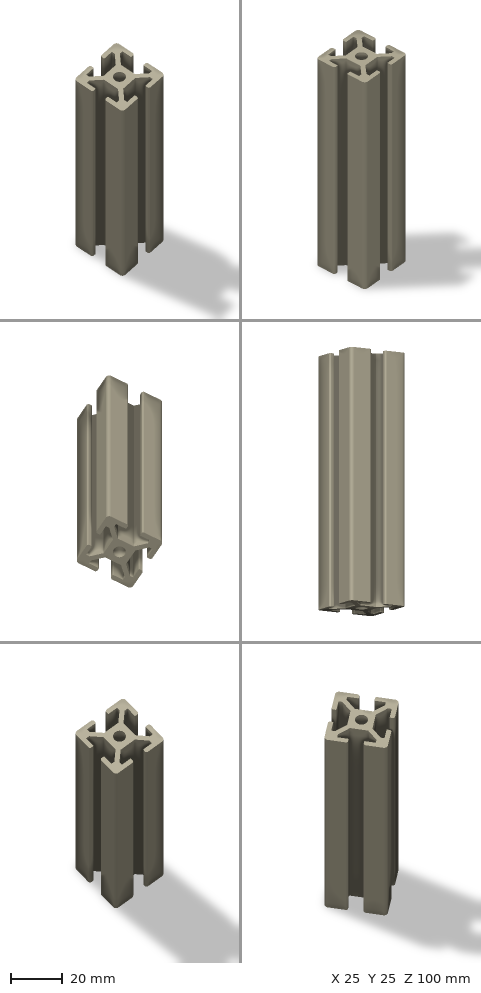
import cadquery as cq
import math

side = 25.0
length = 100.0
corner_radius = 1.5
bore_diameter = 5.0
core_side = 10.0
web_thickness = 2.0

slot_opening = 6.2
cavity_width = 15.2
lip_thickness = 2.0
lip_chamfer = 0.5
bevel_blend_radius = 0.5
lip_back_radius = 0.3

half_side = side / 2
half_opening = slot_opening / 2
half_cavity = cavity_width / 2
half_core = core_side / 2
mouth_edge = half_opening + lip_chamfer
lip_back = half_side - lip_thickness
web_offset = web_thickness / math.sqrt(2)
half_floor = half_core - web_offset
flank_top = half_cavity + web_offset

slot_angles = (0, 90, 180, 270)
edge_search_size = 0.1


def make_bar():
    """Square bar with rounded long edges."""
    bar = cq.Workplane("XY").rect(side, side).extrude(length)
    return bar.edges("|Z").fillet(corner_radius)


def make_slot():
    """T-slot on the +Y side: flat floor, flanks along the webs, cavity and bevelled mouth."""
    right_half = [
        (half_floor, half_core),
        (half_cavity, flank_top),
        (half_cavity, lip_back),
        (half_opening, lip_back),
        (half_opening, half_side - lip_chamfer),
        (mouth_edge, half_side),
    ]
    left_half = [(-x, y) for x, y in reversed(right_half)]
    return cq.Workplane("XY").polyline(right_half + left_half).close().extrude(length)


def make_bore():
    """Round hole through the core, along the bar."""
    return cq.Workplane("XY").circle(bore_diameter / 2).extrude(length)


def long_edge_selector(x, y):
    """Selects the edges along Z that pass through the point (x, y) of the section."""
    reach = edge_search_size / 2
    return cq.selectors.BoxSelector((x - reach, y - reach, 0), (x + reach, y + reach, length))


def round_lip_edges(body, x, y, radius):
    """Rounds the long edge at (x, y) of the +Y slot, on both lips of all four slots."""
    for angle in slot_angles:
        turn = math.radians(angle)
        for lip_x in (x, -x):
            edge_x = lip_x * math.cos(turn) - y * math.sin(turn)
            edge_y = lip_x * math.sin(turn) + y * math.cos(turn)
            body = body.edges(long_edge_selector(edge_x, edge_y)).fillet(radius)
    return body


result = make_bar().cut(make_bore())
for angle in slot_angles:
    result = result.cut(make_slot().rotate((0, 0, 0), (0, 0, 1), angle))
result = round_lip_edges(result, mouth_edge, half_side, bevel_blend_radius)
result = round_lip_edges(result, half_opening, lip_back, lip_back_radius)